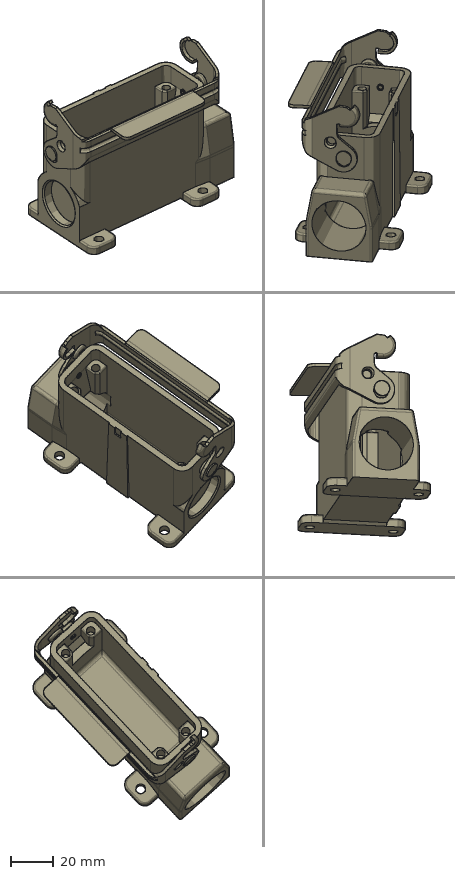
import cadquery as cq
import math

body_half_x = 15.2
body_half_y = 39.9
body_top = 57.3
body_corner_radius = 6.4
wall = 3.0
rim_depth = 9.5
pillar_top = body_top - rim_depth
cavity_half_x = body_half_x - wall
cavity_half_y = body_half_y - wall
cavity_corner_radius = 3.0
main_half_y = 29.6
floor_z = 2.8
floor_fillet = 2.2
slot_half_x = 5.2
pillar_chamfer = 1.7
pillar_edge_fillet = 0.6
end_wall_y = 33.8
screw_x = 8.0
screw_y = 33.0
screw_diameter = 4.0
screw_depth = 12.0

cable_z = 17.3
inner_bore_diameter = 26.0
end_boss_radius = 16.2
end_boss_length = 8.0
recess_mouth_diameter = 24.0
recess_diameter = 22.5
recess_depth = 5.0
hood_end_y = 55.2
hood_start_y = 31.6
hood_top = 35.0
hood_knee_z = 17.9
hood_half_x = 16.0
hood_top_half_x = 13.0
hood_knee_fillet = 8.0
hood_top_fillet = 1.9
hood_end_fillet = 1.0

foot_half_x = 25.0
foot_length = 16.2
foot_height = 4.1
foot_corner_radius = 4.3
foot_edge_fillet = 0.8
foot_hole_x = 20.0
foot_hole_y = 32.0
foot_hole_diameter = 4.6
underside_z = 1.4
underside_slope = 1.3

pad_top_half_y = 5.5
pad_bottom_half_y = 6.5
pad_top_x = -15.8
pad_bottom_x = -16.2
notch_width = 3.6
notch_height = 5.4

sheet = 1.6
lever_half_y = 44.0
lever_max_x = 21.3
lever_bend_radius = 6.0
lever_bend_x = lever_max_x - lever_bend_radius
pivot_eye_x = 0.8
pivot_eye_z = 47.2
pivot_eye_radius = 7.0
hook_x = -0.9
hook_z = 69.2
hook_radius = 6.0
hook_rim = 1.4
hook_rim_width = 3.5
hook_end_x = 2.1
hook_tip_angle = 126
hook_edge_fillet = 1.4
lever_top = 74.1
web_top = 63.0
web_bottom = 53.6
boss_x = 6.6
boss_z = 54.8
boss_diameter = 8.2
boss_height = 1.9
boss_edge_fillet = 0.8
boss_hole_diameter = 4.4
boss_mouth_diameter = 5.8
bead_z = 58.1
bead_radius = 2.0
groove_radius = 1.3
bead_inset = 0.5
bead_wrap_angle = 52
handle_half_y = 25.0
handle_end_x = 31.5
handle_corner_radius = 3.2

pin_z = 47.5
pin_head_diameter = 7.4
pin_head_y = 44.8
pin_diameter = 5.0
pin_tip_diameter = 3.0
pin_tip_y = -36.2
pin_tip_hole_diameter = 2.2
washer_diameter = 8.8
eye_hole_diameter = 7.0
eye_hole_x = 0.3
eye_hole_z = 46.4


def block(x0, x1, y0, y1, z0, z1):
    """Box between two opposite corners."""
    return cq.Workplane("XY").box(x1 - x0, y1 - y0, z1 - z0, centered=False).translate((x0, y0, z0))


def rod(diameter, x, z, y0, y1):
    """Round bar parallel to Y."""
    return cq.Workplane("XZ", origin=(x, y0, z)).circle(diameter / 2).extrude(y0 - y1)


def cone(mouth, end, x, z, y0, y1):
    """Tapered round bar parallel to Y."""
    solid = cq.Solid.makeCone(mouth / 2, end / 2, abs(y1 - y0),
                              cq.Vector(x, y0, z), cq.Vector(0, y1 - y0, 0))
    return cq.Workplane(obj=solid)


def both_ends(shape):
    """Shape together with its mirror image in the XZ plane."""
    return shape.union(shape.mirror("XZ"))


def polar(x, z, radius, angle):
    """Point on a circle around (x, z), angle in degrees."""
    return (x + radius * math.cos(math.radians(angle)), z + radius * math.sin(math.radians(angle)))


def make_shell():
    shell = block(-body_half_x, body_half_x, -body_half_y, body_half_y, 0, body_top)
    shell = shell.edges("|Z").fillet(body_corner_radius)
    boss = rod(2 * end_boss_radius, 0, cable_z, -body_half_y, end_boss_length - body_half_y)
    boss = boss.union(block(-end_boss_radius, end_boss_radius,
                            -body_half_y, end_boss_length - body_half_y, 0, cable_z))
    return shell.union(boss.intersect(block(-body_half_x, body_half_x, -body_half_y, 0, 0, body_top)))


def make_hood_section(y0, y1, inset):
    """Length of the hood along Y; the sides at y0 are set in by inset."""
    def outline(set_in):
        right_side = [(hood_half_x - set_in, 0), (hood_half_x - set_in, hood_knee_z),
                      (hood_top_half_x - set_in, hood_top)]
        return right_side + [(-x, z) for x, z in reversed(right_side)]

    return (cq.Workplane("XZ", origin=(0, y0, 0)).polyline(outline(inset)).close()
            .workplane(offset=y0 - y1).polyline(outline(0)).close().loft(ruled=True))


def make_hood():
    """Cable hood on the +Y end; its sides run in to the width of the shell."""
    hood = make_hood_section(hood_start_y, body_half_y, hood_half_x - body_half_x)
    hood = hood.union(make_hood_section(body_half_y, hood_end_y, 0))
    margin = 0.1
    knees = cq.selectors.BoxSelector((-hood_half_x - margin, hood_start_y, hood_knee_z - margin),
                                     (hood_half_x + margin, hood_end_y - margin, hood_knee_z + margin))
    hood = hood.edges(knees).fillet(hood_knee_fillet)
    hood = hood.faces(">Z").edges("not <Y").fillet(hood_top_fillet)
    return hood.faces(">Y").edges("not |X").fillet(hood_end_fillet)


def make_feet():
    foot = block(-foot_half_x, foot_half_x, -body_half_y, foot_length - body_half_y, 0, foot_height)
    foot = foot.edges("|Z").fillet(foot_corner_radius)
    foot = foot.faces(">Z").edges().fillet(foot_edge_fillet)
    holes = (cq.Workplane("XY").pushPoints([(-foot_hole_x, -foot_hole_y), (foot_hole_x, -foot_hole_y)])
             .circle(foot_hole_diameter / 2).extrude(foot_height))
    flush = block(-body_half_x, body_half_x, -body_half_y, foot_length - body_half_y, 0, foot_height)
    return both_ends(foot.union(flush).cut(holes))


def make_pad():
    """Raised marking pad, growing wider and thicker towards the bottom."""
    pad = (cq.Workplane("YZ", origin=(pad_bottom_x, 0, 0))
           .polyline([(-pad_bottom_half_y, underside_z), (pad_bottom_half_y, underside_z),
                      (pad_top_half_y, body_top), (-pad_top_half_y, body_top)])
           .close().extrude(-pad_bottom_x - body_half_x))
    thickness = (cq.Workplane("XZ", origin=(0, pad_bottom_half_y, 0))
                 .polyline([(-body_half_x, underside_z), (pad_bottom_x, underside_z),
                            (pad_top_x, body_top), (-body_half_x, body_top)])
                 .close().extrude(2 * pad_bottom_half_y))
    notch = block(pad_bottom_x, -body_half_x, -notch_width / 2, notch_width / 2,
                  body_top - notch_height, body_top)
    return pad.intersect(thickness).cut(notch)


def make_slot(ramp_top):
    """Gap between the pillars on -Y; its end wall leans inwards from ramp_top to the cable entry."""
    return (cq.Workplane("YZ", origin=(-slot_half_x, 0, 0))
            .polyline([(0, cable_z), (-end_wall_y, cable_z),
                       (-end_wall_y, cable_z + inner_bore_diameter / 2),
                       (-cavity_half_y, ramp_top), (-cavity_half_y, body_top), (0, body_top)])
            .close().extrude(2 * slot_half_x))


def make_cavity():
    rim = block(-cavity_half_x, cavity_half_x, -cavity_half_y, cavity_half_y, pillar_top, body_top)
    rim = rim.edges("|Z").fillet(cavity_corner_radius)
    main = block(-cavity_half_x, cavity_half_x, -main_half_y, main_half_y, floor_z, body_top)
    main = main.faces("<Z").edges().fillet(floor_fillet)
    mouth_half_x = slot_half_x + pillar_chamfer
    slot_mouth = (cq.Workplane("XY", origin=(0, 0, cable_z))
                  .polyline([(-mouth_half_x, -main_half_y), (mouth_half_x, -main_half_y),
                             (slot_half_x, -main_half_y - pillar_chamfer),
                             (-slot_half_x, -main_half_y - pillar_chamfer)])
                  .close().extrude(body_top - cable_z))
    boss_ramp_top = cable_z + inner_bore_diameter / 2 + cavity_half_y - end_wall_y
    boss_slot = make_slot(boss_ramp_top).union(slot_mouth)
    bore_slot = make_slot(pillar_top).union(slot_mouth).mirror("XZ")
    recess_boss = rod(inner_bore_diameter, 0, cable_z, -body_half_y, -main_half_y)
    below_boss = block(-cavity_half_x, cavity_half_x, -body_half_y, -main_half_y, 0, cable_z)
    boss_slot = boss_slot.cut(recess_boss).cut(below_boss)
    return rim.union(main).union(boss_slot).union(bore_slot)


def round_pillar_tops(housing):
    """Round the free upper edges of the four pillars."""
    margin = 0.1
    reach_x = cavity_half_x - cavity_corner_radius / 2
    reach_y = cavity_half_y - cavity_corner_radius / 2
    free_edges = cq.selectors.BoxSelector((-reach_x, -reach_y, pillar_top - margin),
                                          (reach_x, reach_y, pillar_top + margin))
    return housing.edges(free_edges).fillet(pillar_edge_fillet)


def make_screw_holes():
    return (cq.Workplane("XY", origin=(0, 0, pillar_top))
            .rect(2 * screw_x, 2 * screw_y, forConstruction=True).vertices()
            .circle(screw_diameter / 2).extrude(-screw_depth))


def make_underside_gap():
    gap_half_y = body_half_y - foot_length
    return (cq.Workplane("YZ", origin=(-foot_half_x, 0, 0))
            .polyline([(-gap_half_y, 0), (gap_half_y, 0), (gap_half_y - underside_slope, underside_z),
                       (underside_slope - gap_half_y, underside_z)])
            .close().extrude(2 * foot_half_x))


def make_housing():
    housing = make_shell().union(make_hood()).union(make_feet()).cut(make_cavity())
    housing = round_pillar_tops(housing).cut(make_screw_holes())
    recess = rod(recess_diameter, 0, cable_z, -body_half_y, recess_depth - body_half_y)
    mouth_chamfer = (recess_mouth_diameter - recess_diameter) / 2
    mouth = cone(recess_mouth_diameter, recess_diameter, 0, cable_z,
                 -body_half_y, mouth_chamfer - body_half_y)
    cable_bore = rod(inner_bore_diameter, 0, cable_z, main_half_y - floor_fillet, hood_end_y)
    return housing.cut(recess.union(mouth)).cut(cable_bore).cut(make_underside_gap()).union(make_pad())


def make_lever_outline():
    """Side outline of the lever as a solid spanning its full width."""
    def eye(angle):
        return polar(pivot_eye_x, pivot_eye_z, pivot_eye_radius, angle)

    def hook(angle):
        return polar(hook_x, hook_z, hook_radius, angle)

    rim_inner_z = hook_z - hook_radius + hook_rim
    return (cq.Workplane("XZ", origin=(0, lever_half_y, 0))
            .moveTo(*eye(297))
            .threePointArc(eye(213), eye(130))
            .lineTo(1.9, 57.1)
            .threePointArc((3.1, 58.4), (3.5, 60.1))
            .lineTo(3.7, 64.1)
            .threePointArc((3.2, 64.8), (2.5, 65.0))
            .lineTo(hook_end_x, rim_inner_z)
            .lineTo(hook_end_x, hook_z - hook_radius)
            .lineTo(*hook(270))
            .threePointArc(hook(198), hook(hook_tip_angle))
            .lineTo(-2.8, 72.7)
            .lineTo(-1.3, 73.8)
            .lineTo(2.5, lever_top)
            .lineTo(18.5, 65.3)
            .lineTo(19.6, 64.2)
            .lineTo(lever_max_x - sheet, web_top)
            .lineTo(lever_max_x, web_top)
            .lineTo(lever_max_x, web_bottom)
            .threePointArc((19.9, 50.0), (18.2, 47.8))
            .lineTo(lever_bend_x, 46.4)
            .close().extrude(2 * lever_half_y))


def make_hook_rim():
    def at(radius, angle):
        return polar(hook_x, hook_z, radius, angle)

    inner = hook_radius - hook_rim
    return (cq.Workplane("XZ", origin=(0, hook_rim_width - lever_half_y, 0))
            .moveTo(hook_end_x, hook_z - hook_radius)
            .lineTo(*at(hook_radius, 270))
            .threePointArc(at(hook_radius, 198), at(hook_radius, hook_tip_angle))
            .lineTo(*at(inner, hook_tip_angle))
            .threePointArc(at(inner, 198), at(inner, 270))
            .lineTo(hook_end_x, hook_z - inner)
            .close().extrude(hook_rim_width))


def make_bend_block(inset):
    """Block with two rounded +X corners, set in from the outer faces of the lever."""
    half_y = lever_half_y - inset
    bend = block(-2 * lever_half_y, lever_max_x - inset, -half_y, half_y, 0, lever_top)
    return bend.edges("|Z and >X").fillet(lever_bend_radius - inset)


def make_strap():
    """U-shaped sheet strip, trimmed to the side outline of the lever."""
    strap = make_bend_block(0).cut(make_bend_block(sheet)).intersect(make_lever_outline())
    strap = strap.union(both_ends(make_hook_rim()))
    margin = 0.1
    for face_y in (-lever_half_y, lever_half_y):
        hook_edge = cq.selectors.BoxSelector(
            (hook_x - hook_radius, face_y - margin, hook_z - hook_radius - margin),
            (hook_end_x, face_y + margin, hook_z))
        strap = strap.edges("%CIRCLE").edges(hook_edge).fillet(hook_edge_fillet)
    return strap


def make_handle():
    """Finger plate bent outwards from the upper edge of the web."""
    inner_x = lever_max_x - sheet
    handle = (cq.Workplane("XZ", origin=(0, handle_half_y, 0))
              .polyline([(inner_x, 62.1), (inner_x, 63.3), (20.3, 64.0), (22.0, 64.1),
                         (handle_end_x, 63.6), (handle_end_x, 62.0), (lever_max_x, 62.6),
                         (lever_max_x, 62.1)])
              .close().extrude(2 * handle_half_y))
    plan = block(inner_x, handle_end_x, -handle_half_y, handle_half_y, 0, lever_top)
    return handle.intersect(plan.edges("|Z and >X").fillet(handle_corner_radius))


def make_bead(radius, inset):
    """Round bar along the web and part of the way around both bends."""
    bend_y = lever_half_y - lever_bend_radius
    axis_radius = lever_bend_radius - inset
    axis_x = lever_bend_x + axis_radius

    def on_bend(angle):
        x, y = polar(lever_bend_x, bend_y, axis_radius, angle)
        return cq.Vector(x, y, bead_z)

    path = cq.Edge.makeThreePointArc(on_bend(0), on_bend(bead_wrap_angle / 2), on_bend(bead_wrap_angle))
    bend = (cq.Workplane("XZ", origin=(axis_x, bend_y, bead_z)).circle(radius)
            .sweep(cq.Wire.assembleEdges([path])))
    return rod(2 * radius, axis_x, bead_z, -bend_y, bend_y).union(both_ends(bend))


def make_lever():
    lever = make_strap().union(make_handle())
    bead = make_bead(bead_radius, bead_inset).intersect(make_bend_block(0))
    lever = lever.union(bead).cut(make_bead(groove_radius, 0))
    inner_y = sheet - lever_half_y
    boss = rod(boss_diameter, boss_x, boss_z, inner_y, inner_y + boss_height)
    boss = boss.faces(">Y").edges().fillet(boss_edge_fillet)
    boss_hole = rod(boss_hole_diameter, boss_x, boss_z, -lever_half_y, inner_y + boss_height)
    mouth = cone(boss_mouth_diameter, boss_hole_diameter, boss_x, boss_z, -lever_half_y, inner_y)
    eye_hole = rod(eye_hole_diameter, eye_hole_x, eye_hole_z, -lever_half_y, inner_y)
    return lever.union(both_ends(boss)).cut(both_ends(boss_hole.union(mouth).union(eye_hole)))


def make_pins():
    """Pivot pins with an outer head and a washer inside the lever."""
    inner_y = sheet - lever_half_y
    head = rod(pin_head_diameter, 0, pin_z, -pin_head_y, -lever_half_y)
    shank = rod(pin_diameter, 0, pin_z, -lever_half_y, -body_half_y)
    washer = rod(washer_diameter, 0, pin_z, inner_y, inner_y + boss_height)
    tip = rod(pin_tip_diameter, 0, pin_z, -body_half_y, pin_tip_y)
    hole = rod(pin_tip_hole_diameter, 0, pin_z, -cavity_half_y, pin_tip_y)
    return both_ends(head.union(shank).union(washer).union(tip).cut(hole))


result = make_housing().union(make_lever()).union(make_pins())